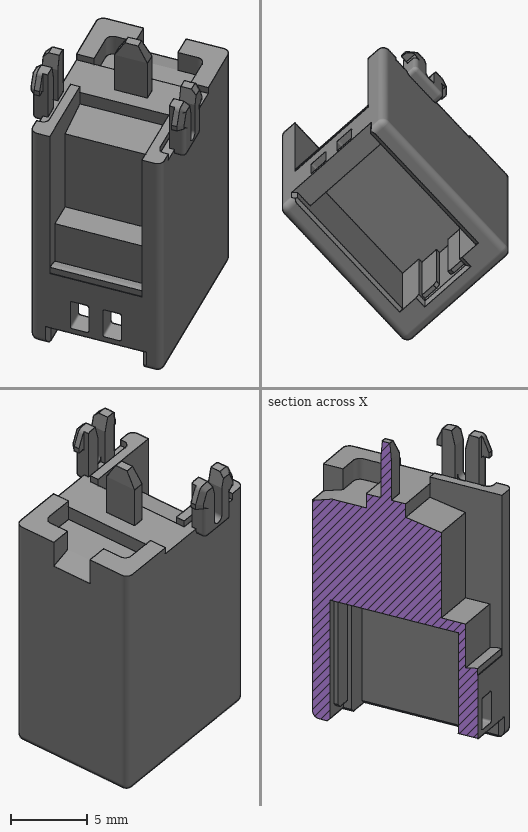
import cadquery as cq

BODY_WIDTH = 9.3
BODY_DEPTH = 12.45
BODY_HEIGHT = 18.1
EDGE_RADIUS = 0.5
FRONT = -BODY_DEPTH / 2
REAR = BODY_DEPTH / 2
SIDE = BODY_WIDTH / 2
CLEARANCE = 1.0

DECK_Z = BODY_HEIGHT - 0.5
DECK_FRONT = FRONT + 5.42
DECK_REAR = FRONT + 8.4
RAIL_OUTER = 3.9
SHELF_FRONT = FRONT + 1.2
SHELF_RADIUS = 0.45

RECESS_HALF = 3.25
RECESS_TOP_Z = 16.6
RECESS_UPPER_Z = 16.14
RECESS_UPPER_Y = FRONT + 2.75
RECESS_STEP_Z = 9.82
RECESS_LOWER_Y = FRONT + 0.92
LIP_TOP_Z = 6.73
LIP_BOTTOM_Z = 6.24
LIP_FRONT_Y = FRONT + 0.05
LIP_BACK_Y = FRONT + 0.36
LIP_DROP = 0.15

POCKET_HALF = 3.4
POCKET_REAR = FRONT + 10.97
POCKET_RADIUS = 0.5
POCKET_FLOOR_Z = 16.56
NOTCH_HALF = 1.5
NOTCH_REAR_Z = 16.1

CAVITY_HALF = RECESS_HALF
CAVITY_FRONT = FRONT + 1.5
CAVITY_REAR = FRONT + 10.5
CAVITY_TOP_Z = 9.0
MOUTH_HALF = 3.56
MOUTH_TOP_Z = 1.54
MOUTH_TAPER_DEPTH = 0.25
KEYWAY_HALF = 1.8
KEYWAY_DEPTH = 0.6
MOUTH_CHAMFER = 0.25
KEY_INNER = 0.5
KEY_HEIGHT = 0.3
KEY_BOTTOM_Z = 0.85
KEY_CHAMFER = 0.28

LATCH_WINDOW_BOTTOM_Z = 1.95
LATCH_WINDOW_TOP_Z = 4.29
LATCH_WINDOW_RADIUS = 0.15

PIN_X = -0.07
PIN_Y = FRONT + 6.91
PIN_WIDTH = 2.34
PIN_THICKNESS = 0.82
PIN_TIP_WIDTH = 0.94
PIN_TIP_THICKNESS = 0.6
PIN_SHOULDER_Z = 20.6
PIN_TOP_Z = 21.8

CLIP_INNER = 4.29
CLIP_OUTER = 5.4
CLIP_Y = FRONT + 3.71
CLIP_HALF = 1.39
CLIP_BOTTOM_Z = 17.1
CLIP_TOP_Z = 21.32
CLIP_RADIUS = 0.3
CLIP_CORNER_RADIUS = 0.31
BARB_HALF = 1.96
BARB_BOTTOM_Z = 19.78
BARB_SHOULDER_Z = 20.16
BARB_SLOPE_TOP_HALF = 1.57
BARB_SLOPE_TOP_Z = 21.02
CLIP_TOP_HALF = 1.18
BARB_CHAMFER = 0.36
GUSSET_TOP_HALF = 1.5
GUSSET_BOTTOM_HALF = 1.09
GUSSET_BOTTOM_Z = 19.48
CLIP_SLOT_RADIUS = 0.39
CLIP_SLOT_FLARE_Z = 20.25
CLIP_SLOT_TOP_HALF = 0.66


def box(x_range, y_range, z_range):
    """Axis-aligned box given by its limits along each axis."""
    (x0, x1), (y0, y1), (z0, z1) = x_range, y_range, z_range
    return cq.Workplane("XY").box(x1 - x0, y1 - y0, z1 - z0, centered=False).translate((x0, y0, z0))


def extrude_yz(points, x0, x1):
    """Prism along X from a closed (y, z) outline."""
    return cq.Workplane("YZ").workplane(offset=x0).polyline(points).close().extrude(x1 - x0)


def extrude_xz(points, y0, y1):
    """Prism along Y from a closed (x, z) outline."""
    return cq.Workplane("XZ").workplane(offset=-y1).polyline(points).close().extrude(y1 - y0)


def both_sides(solid):
    """The solid together with its mirror image across X = 0."""
    return solid.union(solid.mirror("YZ"))


def block():
    base = box((-SIDE, SIDE), (FRONT, REAR), (0, BODY_HEIGHT))
    return base.edges("|Z or <Z").fillet(EDGE_RADIUS)


def deck_cut():
    z_range = (DECK_Z, BODY_HEIGHT + CLEARANCE)
    outer = SIDE + CLEARANCE
    deck = box((-outer, outer), (DECK_FRONT, DECK_REAR), z_range)
    shelf = box((RAIL_OUTER, outer), (SHELF_FRONT, DECK_REAR), z_range)
    shelf = shelf.edges("|Z and <X and <Y").fillet(SHELF_RADIUS)
    return deck.union(both_sides(shelf))


def front_recess_cut():
    top = BODY_HEIGHT + CLEARANCE
    outside = FRONT - CLEARANCE
    outline = [
        (outside, top),
        (DECK_FRONT, top),
        (DECK_FRONT, RECESS_TOP_Z),
        (RECESS_UPPER_Y, RECESS_UPPER_Z),
        (RECESS_UPPER_Y, RECESS_STEP_Z),
        (RECESS_LOWER_Y, RECESS_STEP_Z),
        (RECESS_LOWER_Y, LIP_TOP_Z - LIP_DROP),
        (LIP_BACK_Y, LIP_TOP_Z),
        (LIP_FRONT_Y, LIP_TOP_Z),
        (LIP_FRONT_Y, LIP_BOTTOM_Z),
        (outside, LIP_BOTTOM_Z),
    ]
    return extrude_yz(outline, -RECESS_HALF, RECESS_HALF)


def rear_pocket_cut():
    top = BODY_HEIGHT + CLEARANCE
    pocket = box((-POCKET_HALF, POCKET_HALF), (DECK_REAR, POCKET_REAR), (POCKET_FLOOR_Z, top))
    pocket = pocket.edges("|Z and >Y").fillet(POCKET_RADIUS)
    notch_outline = [
        (POCKET_REAR, top),
        (POCKET_REAR, POCKET_FLOOR_Z),
        (REAR, NOTCH_REAR_Z),
        (REAR, top),
    ]
    return pocket.union(extrude_yz(notch_outline, -NOTCH_HALF, NOTCH_HALF))


def mouth_cut():
    """Opening under the front wall, tapering inwards to the cavity width."""
    taper_end = FRONT + MOUTH_TAPER_DEPTH
    outline = [
        (-MOUTH_HALF, FRONT),
        (MOUTH_HALF, FRONT),
        (CAVITY_HALF, taper_end),
        (CAVITY_HALF, CAVITY_FRONT),
        (-CAVITY_HALF, CAVITY_FRONT),
        (-CAVITY_HALF, taper_end),
    ]
    return cq.Workplane("XY").polyline(outline).close().extrude(MOUTH_TOP_Z)


def keyway_cut():
    """Channel in the rear cavity wall with a flared mouth, less the two keys left in it."""
    keyway_rear = CAVITY_REAR + KEYWAY_DEPTH
    keyway = box((-KEYWAY_HALF, KEYWAY_HALF), (CAVITY_REAR, keyway_rear), (0, CAVITY_TOP_Z))
    flare_width = 2 * (KEYWAY_HALF + MOUTH_CHAMFER)
    flare_depth = KEYWAY_DEPTH + 2 * MOUTH_CHAMFER
    flare_y = (CAVITY_REAR + keyway_rear) / 2
    flare = cq.Workplane("XY").rect(flare_width, flare_depth).extrude(MOUTH_CHAMFER, taper=45)
    flare = flare.translate((0, flare_y, 0))
    key = box((KEY_INNER, KEYWAY_HALF), (keyway_rear - KEY_HEIGHT, keyway_rear), (KEY_BOTTOM_Z, CAVITY_TOP_Z))
    key = key.edges("|Y and <X and <Z").chamfer(KEY_CHAMFER)
    return keyway.union(flare).cut(both_sides(key))


def plug_cavity_cut():
    cavity = box((-CAVITY_HALF, CAVITY_HALF), (CAVITY_FRONT, CAVITY_REAR), (0, CAVITY_TOP_Z))
    flare_half = CAVITY_HALF + MOUTH_CHAMFER
    flare_outline = [
        (-flare_half, 0),
        (flare_half, 0),
        (CAVITY_HALF, MOUTH_CHAMFER),
        (-CAVITY_HALF, MOUTH_CHAMFER),
    ]
    flare = extrude_xz(flare_outline, FRONT, CAVITY_REAR)
    return cavity.union(flare).union(mouth_cut()).union(keyway_cut())


def latch_window_cut():
    z_range = (LATCH_WINDOW_BOTTOM_Z, LATCH_WINDOW_TOP_Z)
    window = box((KEY_INNER, KEYWAY_HALF), (FRONT, CAVITY_FRONT), z_range)
    return both_sides(window.edges("|Y").fillet(LATCH_WINDOW_RADIUS))


def contact_pin():
    shank = (
        cq.Workplane("XY")
        .workplane(offset=DECK_Z)
        .rect(PIN_WIDTH, PIN_THICKNESS)
        .extrude(PIN_SHOULDER_Z - DECK_Z)
    )
    tip = (
        cq.Workplane("XY")
        .workplane(offset=PIN_SHOULDER_Z)
        .rect(PIN_WIDTH, PIN_THICKNESS)
        .workplane(offset=PIN_TOP_Z - PIN_SHOULDER_Z)
        .rect(PIN_TIP_WIDTH, PIN_TIP_THICKNESS)
        .loft(ruled=True)
    )
    return shank.union(tip).translate((PIN_X, PIN_Y, 0))


def clip_head_outline(x0):
    """Barbed head outline on a YZ plane, centred on Y = 0."""
    return (
        cq.Workplane("YZ")
        .workplane(offset=x0)
        .moveTo(-BARB_HALF, BARB_BOTTOM_Z)
        .lineTo(BARB_HALF, BARB_BOTTOM_Z)
        .lineTo(BARB_HALF, BARB_SHOULDER_Z)
        .lineTo(BARB_SLOPE_TOP_HALF, BARB_SLOPE_TOP_Z)
        .tangentArcPoint((CLIP_TOP_HALF, CLIP_TOP_Z), relative=False)
        .lineTo(-CLIP_TOP_HALF, CLIP_TOP_Z)
        .tangentArcPoint((-BARB_SLOPE_TOP_HALF, BARB_SLOPE_TOP_Z), relative=False)
        .lineTo(-BARB_HALF, BARB_SHOULDER_Z)
        .close()
    )


def clip_gusset():
    """Sloped shoulders that carry the barbs from the shank."""
    outline = [
        (-GUSSET_BOTTOM_HALF, GUSSET_BOTTOM_Z),
        (GUSSET_BOTTOM_HALF, GUSSET_BOTTOM_Z),
        (GUSSET_TOP_HALF, BARB_BOTTOM_Z),
        (-GUSSET_TOP_HALF, BARB_BOTTOM_Z),
    ]
    return extrude_yz(outline, SIDE, CLIP_OUTER)


def clip_slot_cut():
    """Round-bottomed slot that flares at the top and parts the two prongs."""
    spring_z = DECK_Z + CLIP_SLOT_RADIUS
    slot = (
        cq.Workplane("YZ")
        .workplane(offset=CLIP_INNER)
        .moveTo(-CLIP_SLOT_RADIUS, spring_z)
        .threePointArc((0, DECK_Z), (CLIP_SLOT_RADIUS, spring_z))
        .lineTo(CLIP_SLOT_RADIUS, CLIP_SLOT_FLARE_Z)
        .lineTo(CLIP_SLOT_TOP_HALF, CLIP_TOP_Z)
        .lineTo(-CLIP_SLOT_TOP_HALF, CLIP_TOP_Z)
        .lineTo(-CLIP_SLOT_RADIUS, CLIP_SLOT_FLARE_Z)
        .close()
        .extrude(CLIP_OUTER - CLIP_INNER)
    )
    square_foot = box((CLIP_INNER, SIDE), (-CLIP_SLOT_RADIUS, CLIP_SLOT_RADIUS), (DECK_Z, spring_z))
    return slot.union(square_foot)


def snap_clip():
    """Clip on the +X side: a shank, a barbed outer head and plain inner prongs."""
    shank = box((SIDE, CLIP_OUTER), (-CLIP_HALF, CLIP_HALF), (CLIP_BOTTOM_Z, BARB_BOTTOM_Z))
    shank = shank.edges("|X and <Z").fillet(CLIP_CORNER_RADIUS)
    shank = shank.faces(">X").edges("not >Z").fillet(CLIP_RADIUS)
    head = clip_head_outline(SIDE).extrude(CLIP_OUTER - SIDE)
    head = head.faces(">X").edges("not <Z").chamfer(BARB_CHAMFER)
    inner_prongs = box((CLIP_INNER, SIDE), (-CLIP_HALF, CLIP_HALF), (DECK_Z, BARB_BOTTOM_Z))
    inner_head = clip_head_outline(CLIP_INNER).extrude(SIDE - CLIP_INNER)
    inner_limit = box((CLIP_INNER, SIDE), (-CLIP_HALF, CLIP_HALF), (DECK_Z, CLIP_TOP_Z))
    clip = shank.union(clip_gusset()).union(head).union(inner_prongs).union(inner_head.intersect(inner_limit))
    return clip.cut(clip_slot_cut()).translate((0, CLIP_Y, 0))


housing = block()
for cut in (deck_cut, front_recess_cut, rear_pocket_cut, plug_cavity_cut, latch_window_cut):
    housing = housing.cut(cut())

result = housing.union(contact_pin()).union(both_sides(snap_clip()))